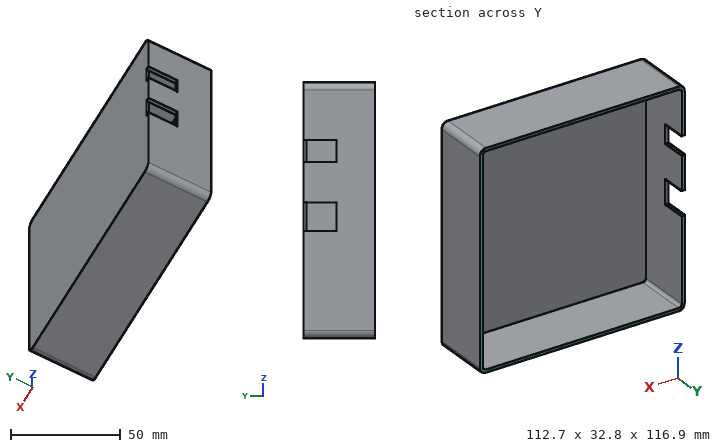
import cadquery as cq

WIDTH = 112.7
DEPTH = 32.8
HEIGHT = 116.9
CORNER_RADIUS = 3.5

WALL = 1.85
BACK_PANEL = 1.5

WINDOW_DEPTH = 15.1
UPPER_WINDOW_TOP = 26.4
UPPER_WINDOW_HEIGHT = 10.0
LOWER_WINDOW_TOP = 54.9
LOWER_WINDOW_HEIGHT = 13.0

BACK_Y = DEPTH / 2
LEFT_X = -WIDTH / 2
TOP_Z = HEIGHT / 2


def rounded_block(width, depth, height, radius):
    """Centred block whose four edges along Y are rounded."""
    return cq.Workplane("XY").box(width, depth, height).edges("|Y").fillet(radius)


def hollow_box():
    """Closed box with a single interior cavity."""
    outside = rounded_block(WIDTH, DEPTH, HEIGHT, CORNER_RADIUS)
    cavity = rounded_block(
        WIDTH - 2 * WALL,
        DEPTH - WALL - BACK_PANEL,
        HEIGHT - 2 * WALL,
        CORNER_RADIUS - WALL,
    )
    return outside.cut(cavity.translate((0, (WALL - BACK_PANEL) / 2, 0)))


def window_cutter(distance_below_top, window_height):
    """Block that removes the -X wall, leaving the edge of the back panel recessed."""
    return (
        cq.Workplane("XY")
        .box(WALL, WINDOW_DEPTH, window_height, centered=False)
        .translate((LEFT_X, BACK_Y - WINDOW_DEPTH, TOP_Z - distance_below_top - window_height))
    )


result = hollow_box()
for top, window_height in (
    (UPPER_WINDOW_TOP, UPPER_WINDOW_HEIGHT),
    (LOWER_WINDOW_TOP, LOWER_WINDOW_HEIGHT),
):
    result = result.cut(window_cutter(top, window_height))